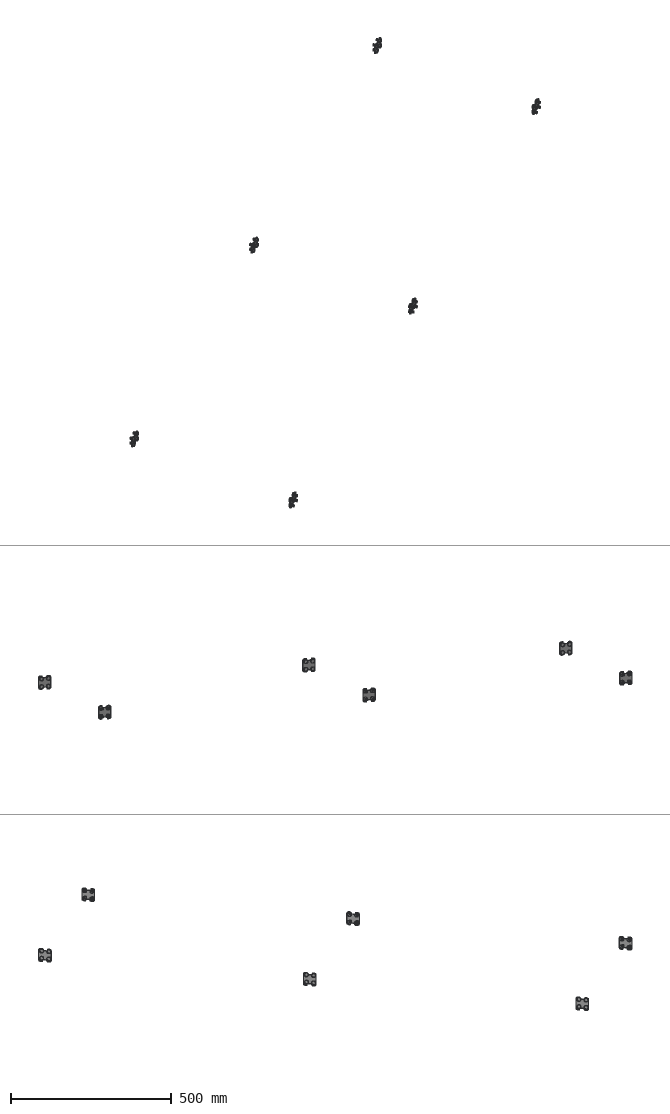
import cadquery as cq

overall_width = 567.0
overall_length = 1765.0
middle_pair_y = -12.0

plate_length = 40.0
plate_height = 42.0
plate_thickness = 2.6
plate_corner_radius = 7.0
notch_width = 18.0
notch_depth = 6.2

stud_spacing_y = 23.0
stud_spacing_z = 25.0
stud_length = 8.0
stem_diameter = 5.0
head_diameter = 7.0
head_length = 4.0

pad_diameter = 12.0
pad_length = 4.5

plate_outer_x = stud_length
plate_inner_x = plate_outer_x + plate_thickness


def corner_cylinders(diameter, start_x, length):
    """Four cylinders along X, one near each corner of the plate."""
    return (
        cq.Workplane("YZ", origin=(start_x, 0, 0))
        .rect(stud_spacing_y, stud_spacing_z, forConstruction=True)
        .vertices()
        .circle(diameter / 2)
        .extrude(length)
    )


def notched_plate():
    """Upright plate with rounded corners and a notch in its top and bottom edges."""
    outer_face = cq.Workplane("YZ", origin=(plate_outer_x, 0, 0))
    plate = (
        outer_face.rect(plate_length, plate_height)
        .extrude(plate_thickness)
        .edges("|X")
        .fillet(plate_corner_radius)
    )
    notches = (
        outer_face.pushPoints([(0, plate_height / 2), (0, -plate_height / 2)])
        .rect(notch_width, 2 * notch_depth)
        .extrude(plate_thickness)
    )
    return plate.cut(notches)


def make_bracket():
    """Bracket with its stud heads starting at X = 0 and its pads toward +X."""
    heads = corner_cylinders(head_diameter, 0, head_length)
    stems = corner_cylinders(stem_diameter, head_length, stud_length - head_length)
    pads = corner_cylinders(pad_diameter, plate_inner_x, pad_length)
    return notched_plate().union(stems).union(heads).union(pads).solids()


end_pair_y = (overall_length - plate_length) / 2
left_bracket = make_bracket().translate((-overall_width / 2, 0, 0))
right_bracket = left_bracket.mirror("YZ")

brackets = []
for pair_y in (-end_pair_y, middle_pair_y, end_pair_y):
    for bracket in (left_bracket, right_bracket):
        brackets.append(bracket.translate((0, pair_y, 0)).val())

result = cq.Compound.makeCompound(brackets)